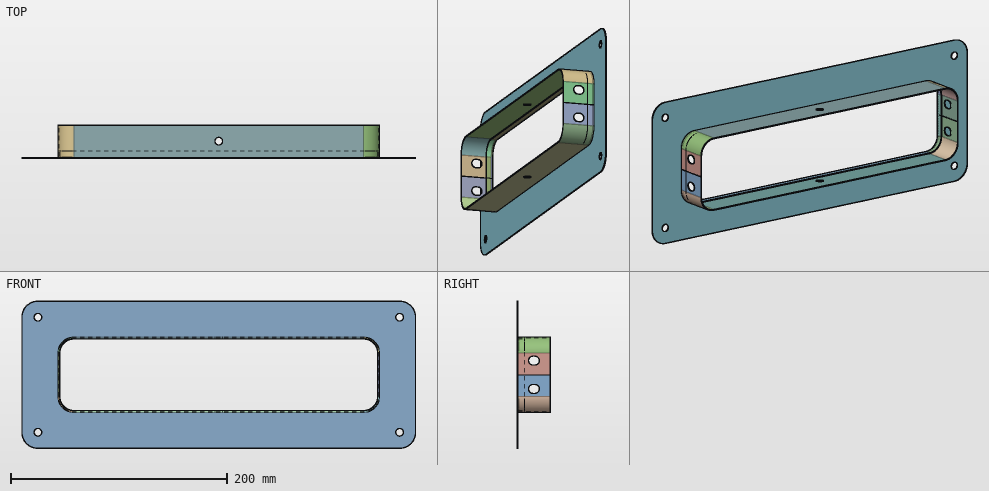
import cadquery as cq


sheet = 1.0
depth = 31.0
hole_diameter = 7.0

plate_length = 364.0
plate_height = 136.0
plate_corner_radius = 15.0
screw_inset = 15.0

sleeve_length = 297.5
sleeve_height = 70.0
sleeve_corner_radius = 15.0
middle_hole_y = 16.0

slot_y = 15.5
slot_length = 10.0
slot_width = 8.0
slot_spacing = 26.2

collar_end = 7.0
inner_bend_radius = 0.9
outer_bend_radius = inner_bend_radius + sheet


def rounded_block(inset, y_start, y_end):
    """Rounded block along Y whose outline lies inside the sleeve outline by the inset."""
    return (
        cq.Workplane("XZ", origin=(0, y_start, 0))
        .rect(sleeve_length - 2 * inset, sleeve_height - 2 * inset)
        .extrude(y_start - y_end)
        .edges("|Y")
        .fillet(sleeve_corner_radius - inset)
    )


def near_collar(y):
    """Selector for the edges at depth y that lie around the opening."""
    return cq.selectors.BoxSelector(
        (-sleeve_length / 2, y - sheet / 2, -sleeve_height / 2),
        (sleeve_length / 2, y + sheet / 2, sleeve_height / 2),
        boundingbox=True,
    )


def make_plate():
    """Flat plate with four screw holes and a collar rolled back around its opening."""
    flat = (
        cq.Workplane("XZ")
        .rect(plate_length, plate_height)
        .extrude(-sheet)
        .edges("|Y")
        .fillet(plate_corner_radius)
    )
    screw_holes = (
        cq.Workplane("XZ")
        .rect(plate_length - 2 * screw_inset, plate_height - 2 * screw_inset, forConstruction=True)
        .vertices()
        .circle(hole_diameter / 2)
        .extrude(-sheet)
    )
    collar = rounded_block(sheet, 0, collar_end)
    opening = rounded_block(2 * sheet, 0, collar_end)
    plate = flat.cut(screw_holes).union(collar)
    plate = plate.edges(near_collar(sheet)).fillet(inner_bend_radius)
    plate = plate.cut(opening)
    return plate.edges(near_collar(0)).fillet(outer_bend_radius)


def make_sleeve_half(side, plate):
    """Half of the sleeve, split at mid height: side is 1 for the upper half, -1 for the lower."""
    ring = rounded_block(0, sheet, depth).cut(rounded_block(sheet, sheet, depth)).cut(plate)
    half_space = cq.Workplane("XY").box(
        sleeve_length, 2 * depth, sleeve_height, centered=(True, True, False)
    )
    if side < 0:
        half_space = half_space.mirror("XY")
    end_slots = (
        cq.Workplane("YZ", origin=(-sleeve_length / 2, slot_y, side * slot_spacing / 2))
        .slot2D(slot_length, slot_width)
        .extrude(sleeve_length)
    )
    middle_hole = (
        cq.Workplane("XY", origin=(0, middle_hole_y, 0))
        .circle(hole_diameter / 2)
        .extrude(side * sleeve_height / 2)
    )
    return ring.intersect(half_space).cut(end_slots).cut(middle_hole)


plate = make_plate()
sleeve_halves = [make_sleeve_half(side, plate) for side in (1, -1)]

result = cq.Compound.makeCompound([plate.val(), *[half.val() for half in sleeve_halves]])